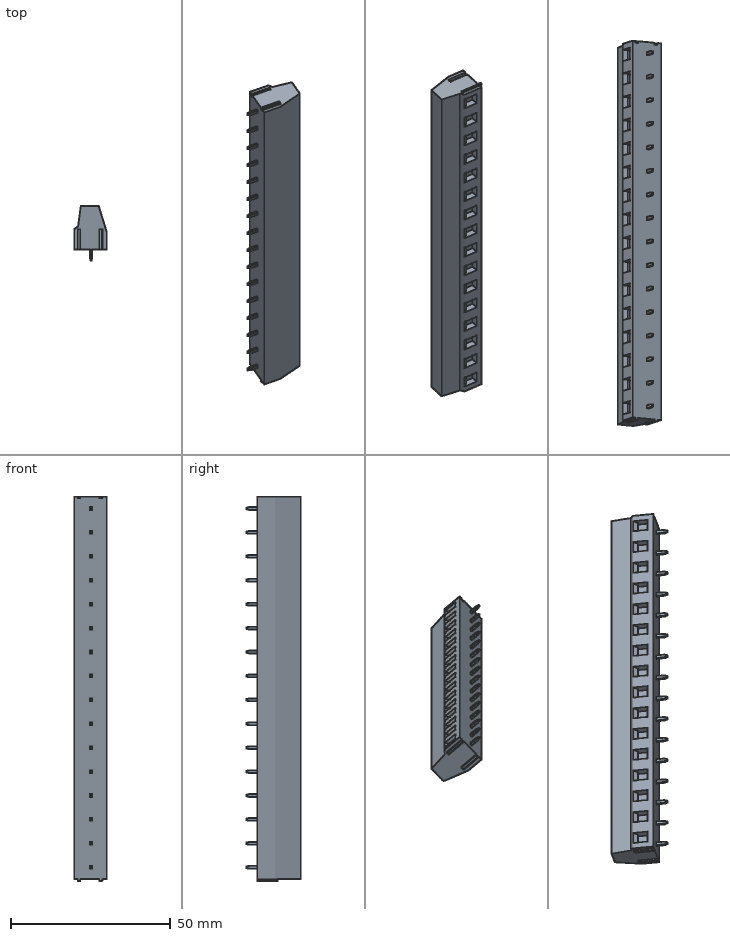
import cadquery as cq

total_length = 120.6
total_depth = 17.2
body_width = 10.3
pole_count = 16
rib_height = 0.6
pin_length = 3.5

body_length = total_length - rib_height
body_depth = total_depth - pin_length
pole_pitch = body_length / pole_count

wire_face_depth = 6.5
shoulder_inset = 1.2
shoulder_depth = 7.4
shoulder_radius = 0.4
crown_left = 2.0
crown_right = 7.7
back_face_depth = 5.5

mouth_width = 3.6
mouth_start = 1.8
throat_end = 5.1
throat_depth = 1.0
pocket_depth = 1.7
pocket_draft = 0.5

pin_x = 5.3
pin_thickness = 0.7
pin_width = 1.0
pin_tip_length = 1.0
pin_tip_scale = 0.5

rib_length = 6.4
rib_front_left = 1.1
rib_front_right = 1.9
rib_back_left = 7.8
rib_back_right = 9.0
rib_back_taper = 0.4


def make_housing():
    outline = [
        (0, 0),
        (body_width, 0),
        (body_width, back_face_depth),
        (crown_right, body_depth),
        (crown_left, body_depth),
        (shoulder_inset, shoulder_depth),
        (0, wire_face_depth),
    ]
    housing = cq.Workplane("XY").polyline(outline).close().extrude(body_length)
    shoulder_edge = cq.selectors.NearestToPointSelector((0, wire_face_depth, body_length / 2))
    return housing.edges(shoulder_edge).fillet(shoulder_radius)


def entry_section(depth, end):
    """Centre along Y, length along Y and width along Z of a wire entry at a given depth."""
    inset = pocket_draft * depth / pocket_depth
    start = mouth_start + inset
    return (start + end) / 2, end - start, mouth_width - 2 * inset


def make_entry_stage(z, depth_from, end_from, depth_to, end_to):
    """Straight-sided loft between the entry sections at two depths."""
    centre_from, length_from, width_from = entry_section(depth_from, end_from)
    centre_to, length_to, width_to = entry_section(depth_to, end_to)
    return (
        cq.Workplane("YZ", origin=(depth_from, centre_from, z))
        .rect(length_from, width_from)
        .workplane(offset=depth_to - depth_from)
        .center(centre_to - centre_from, 0)
        .rect(length_to, width_to)
        .loft(ruled=True)
    )


def make_wire_entry(z):
    """Cutter for one wire entry centred at height z."""
    ramp = make_entry_stage(z, 0, wire_face_depth, throat_depth, throat_end)
    pocket = make_entry_stage(z, throat_depth, throat_end, pocket_depth, throat_end)
    return ramp.union(pocket)


def make_pin(z):
    """One pin at height z, rooted in the housing and tapered at its tip."""
    shank_length = pin_length - pin_tip_length
    root = cq.Workplane("XZ").center(pin_x, z)
    shank = root.rect(pin_thickness, pin_width).extrude(shank_length)
    tip = (
        root.workplane(offset=shank_length)
        .rect(pin_thickness, pin_width)
        .workplane(offset=pin_tip_length)
        .rect(pin_thickness * pin_tip_scale, pin_width * pin_tip_scale)
        .loft(ruled=True)
    )
    return shank.union(tip)


def make_joint(z):
    """Pair of bars hanging down from level z; the back one narrows towards its foot."""
    foot_z = z - rib_height
    front = [
        (rib_front_left, z),
        (rib_front_right, z),
        (rib_front_right, foot_z),
        (rib_front_left, foot_z),
    ]
    back = [
        (rib_back_left, z),
        (rib_back_right, z),
        (rib_back_right - rib_back_taper, foot_z),
        (rib_back_left, foot_z),
    ]
    front_bar = cq.Workplane("XZ").polyline(front).close().extrude(-rib_length)
    back_bar = cq.Workplane("XZ").polyline(back).close().extrude(-rib_length)
    return front_bar.union(back_bar)


result = make_housing()
result = result.cut(make_joint(body_length))
result = result.union(make_joint(0))
for pole in range(pole_count):
    pole_z = (pole + 0.5) * pole_pitch
    result = result.cut(make_wire_entry(pole_z))
    result = result.union(make_pin(pole_z))